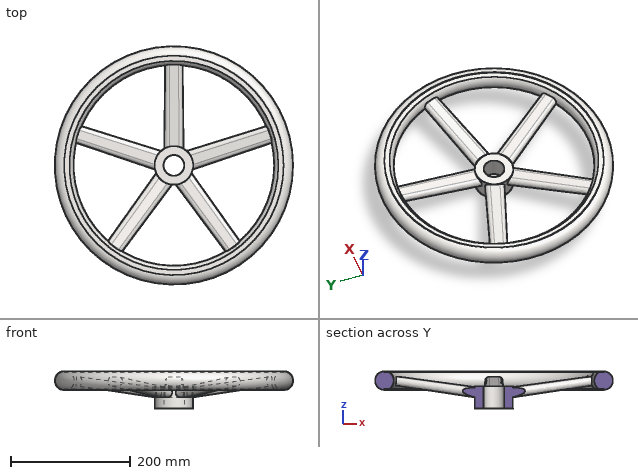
import cadquery as cq
import math

rim_radius = 200.0
rim_height = 32.0
overall_height = 63.0
inner_radius = 168.0
inner_bulge = 7.0
band_step = 2.0
rim_mid_z = overall_height - rim_height / 2
rim_bottom_z = overall_height - rim_height
band_bottom_z = rim_bottom_z + band_step
band_top_z = overall_height - band_step
step_radius = rim_radius - rim_height / 2
band_edge_radius = inner_radius + inner_bulge

hub_diameter = 65.0
hub_height = 38.0
bore_diameter = 34.5

spoke_count = 5
spoke_start_radius = 24.0
spoke_end_radius = 176.0
spoke_start_z = 26.5
spoke_start_width = 33.0
spoke_start_thickness = 17.0
spoke_end_width = 29.5
spoke_end_thickness = 15.0


def make_rim():
    return (
        cq.Workplane("XZ")
        .moveTo(band_edge_radius, band_bottom_z)
        .lineTo(step_radius, band_bottom_z)
        .lineTo(step_radius, rim_bottom_z)
        .threePointArc((rim_radius, rim_mid_z), (step_radius, overall_height))
        .lineTo(step_radius, band_top_z)
        .lineTo(band_edge_radius, band_top_z)
        .threePointArc((inner_radius, rim_mid_z), (band_edge_radius, band_bottom_z))
        .close()
        .revolve(360, (0, 0, 0), (0, 1, 0))
    )


def make_spoke():
    """Spoke along +Y, lofted between obround sections square to its sloping axis."""
    run = spoke_end_radius - spoke_start_radius
    rise = rim_mid_z - spoke_start_z
    section_plane = cq.Plane(
        origin=(0, spoke_start_radius, spoke_start_z), xDir=(1, 0, 0), normal=(0, run, rise)
    )
    return (
        cq.Workplane(section_plane)
        .slot2D(spoke_start_width, spoke_start_thickness)
        .workplane(offset=math.hypot(run, rise))
        .slot2D(spoke_end_width, spoke_end_thickness)
        .loft(ruled=True)
    )


wheel = make_rim().union(cq.Workplane("XY").circle(hub_diameter / 2).extrude(hub_height))

spoke = make_spoke()
for index in range(spoke_count):
    wheel = wheel.union(spoke.rotate((0, 0, 0), (0, 0, 1), index * 360 / spoke_count))

bore = cq.Workplane("XY").circle(bore_diameter / 2).extrude(hub_height)
result = wheel.cut(bore)